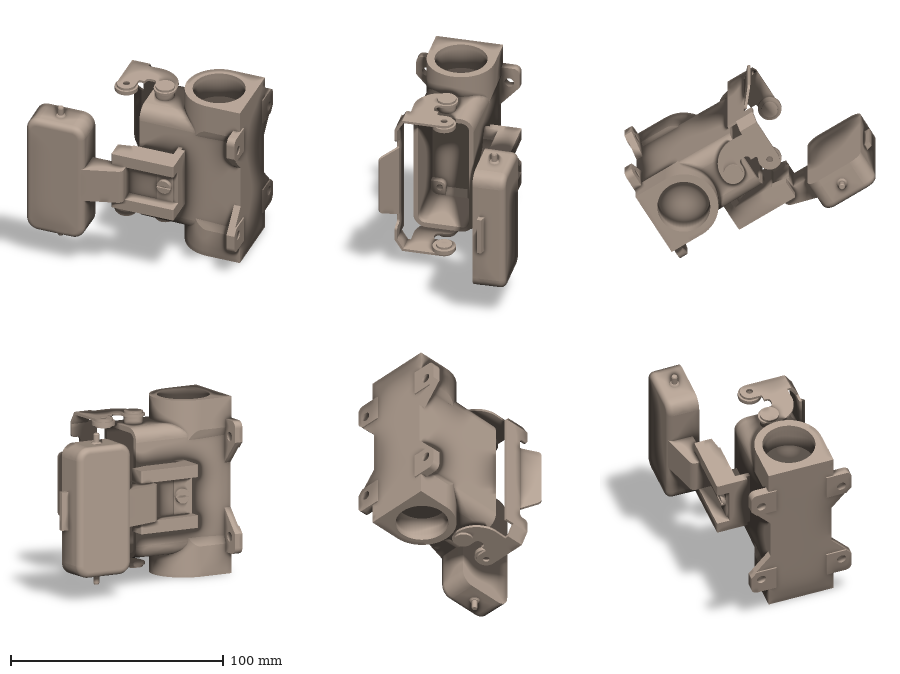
import cadquery as cq
import math


entry_radius = 16.3
entry_half_height = 42.5
bore_radius = 12.5
bore_depth = 13.0
back_x = 16.8
entry_foot_z = 28.0
entry_foot_end_z = 23.6

mouth_x = -34.6
body_half_width = 14.6
body_half_height = 31.3
body_corner_radius = 6.3
body_draft = 0.7
body_foot_half_width = body_half_width + (0 - mouth_x) * math.tan(math.radians(body_draft))

cavity_half_width = 12.4
cavity_half_height = 28.9
cavity_floor_half_height = 25.9
cavity_depth = 28.7
cavity_ramp_depth = cavity_half_height - cavity_floor_half_height
cavity_corner_radius = 3.6
cavity_floor_x = mouth_x + cavity_depth
post_recess = 25.6
post_width = 7.1
post_length = 7.3
post_corner_radius = 3.0
post_hole_radius = 1.6
post_hole_depth = 3.1
post_hole_y = 8.1
post_hole_z = 24.9

ear_front_x = 13.4
ear_pad_x = 17.4
ear_half_span = 25.1
ear_half_height = 32.0
ear_slope_z = 21.9
ear_root = (15.0, 10.4)
ear_corner_radius = 3.1
ear_hole_radius = 2.3
ear_hole_y = 20.1
ear_hole_z = 24.1
ear_pad_inner_y = 12.5
ear_pad_inner_z = 18.9

sheet = 1.2
lever_half_height = 36.2
lever_front_x = -50.2
lever_bend_x = -41.2
lever_spine_x = -36.4
lever_back_y = 19.9
bend_start_y = 16.2
bend_end_z = 30.6
notch_outer_z = 23.6
notch_inner_z = 18.4
notch_x = -45.4
notch_corner_radius = 1.6
peg_x = -27.3
peg_y = 0.2
peg_radius = 4.5
peg_head = 1.1
hook_radius = 5.4
pivot_x = -45.7
pivot_y = -3.1
pivot_end_radius = 4.5
pivot_disc_radius = 5.5
pivot_disc_thickness = 2.0
pivot_hub_radius = 3.8
pivot_hub_thickness = 1.0
pivot_hole_radius = 1.6
flap_angle = 131.0
flap_length = 10.3
flap_root_x = -46.4
flap_tip_half_height = 15.1
flap_corner_radius = 2.6

cover_left_x = -82.0
cover_right_x = -52.6
cover_half_height = 31.4
cover_open_y = -25.7
cover_parting_y = -28.7
cover_face_y = -41.4
cover_corner_radius = 6.1
cover_edge_radius = 2.9
cover_draft = 0.7
cover_mid_x = (cover_left_x + cover_right_x) / 2
cover_width = cover_right_x - cover_left_x
tab_left_x = -85.0
tab_half_height = 9.2
tab_end_y = -30.7
tab_root_y = -31.7
stud_y = -32.8
stud_radius = 1.4
stud_end_z = 36.2
stud_chamfer = 0.6
stud_base_radius = 2.8
stud_base_top_radius = 1.8
stud_base_height = 0.9

bracket_half_height = 15.2
bracket_arm_thickness = 5.9
bracket_left_x = -42.1
bracket_right_x = -10.8
bracket_inner_y = -21.6
bracket_outer_y = -32.0
bracket_tip_y = -23.5
bracket_slope_x = -31.5
bracket_edge_radius = 0.7
bracket_web_y = -25.8
bracket_step_x = -12.6
bracket_step_y = -16.9
hub_tongue_x = -31.2
hub_tongue_half_height = 2.8
hub_scoop_radius = 8.0
hub_scoop_x = -25.2
hub_shoulder_x = -14.6
screw_plate_left_x = -21.1
screw_plate_right_x = -13.1
screw_plate_half_height = 8.7
screw_plate_y = -26.5
screw_radius = 3.5
screw_head_y = -28.7
screw_slot_width = 1.0
screw_slot_depth = 0.8
hinge_arm_half_height = 8.8
hinge_arm_end_x = -35.1
hinge_arm_root_x = -55.0
hinge_leaf_right_x = -21.4
hinge_leaf_y = -26.1


def box(x0, x1, y0, y1, z0, z1):
    """Block between two opposite corners."""
    return cq.Workplane("XY").box(x1 - x0, y1 - y0, z1 - z0, centered=False).translate((x0, y0, z0))


def disc(x, y, z0, z1, radius):
    """Cylinder along Z between two heights."""
    return cq.Workplane("XY", origin=(x, y, z0)).circle(radius).extrude(z1 - z0)


def both_ends(shape):
    """Shape together with its mirror image below the middle plane."""
    return shape.union(shape.mirror("XY"))


def both_sides(shape):
    """Shape together with its mirror image across the XZ plane."""
    return shape.union(shape.mirror("XZ"))


def entry_block():
    plan = (
        cq.Workplane("XY", origin=(0, 0, entry_foot_end_z))
        .moveTo(back_x, entry_radius)
        .lineTo(0, entry_radius)
        .threePointArc((-entry_radius, 0), (0, -entry_radius))
        .lineTo(back_x, -entry_radius)
        .close()
        .extrude(entry_half_height - entry_foot_end_z)
    )
    foot_side = [
        (body_foot_half_width, entry_foot_end_z),
        (entry_radius, entry_foot_z),
        (entry_radius, entry_half_height),
    ]
    mirrored_side = [(-y, z) for y, z in reversed(foot_side)]
    taper = (
        cq.Workplane("YZ", origin=(-entry_radius, 0, 0))
        .polyline(foot_side + mirrored_side)
        .close()
        .extrude(entry_radius + back_x)
    )
    return both_ends(plan.intersect(taper))


def entry_bores():
    return both_ends(disc(0, 0, entry_half_height - bore_depth, entry_half_height, bore_radius))


def housing_body():
    outline = (
        cq.Sketch()
        .rect(2 * body_half_width, 2 * body_half_height)
        .vertices()
        .fillet(body_corner_radius)
    )
    return (
        cq.Workplane("YZ", origin=(mouth_x, 0, 0))
        .placeSketch(outline)
        .extrude(back_x - mouth_x, taper=-body_draft)
    )


def corner_posts():
    post = box(
        mouth_x + post_recess, cavity_floor_x,
        cavity_half_width - post_width, cavity_half_width,
        cavity_half_height - post_length, cavity_half_height,
    )
    post = post.edges("|X and <Y and <Z").fillet(post_corner_radius)
    hole = (
        cq.Workplane("YZ", origin=(mouth_x + post_recess, post_hole_y, post_hole_z))
        .circle(post_hole_radius)
        .extrude(post_hole_depth)
    )
    return both_sides(both_ends(post.cut(hole)))


def insert_cavity():
    side_profile = (
        cq.Workplane("XZ", origin=(0, cavity_half_width, 0))
        .moveTo(mouth_x, -cavity_half_height)
        .lineTo(mouth_x, cavity_half_height)
        .lineTo(cavity_floor_x - cavity_ramp_depth, cavity_half_height)
        .lineTo(cavity_floor_x, cavity_floor_half_height)
        .lineTo(cavity_floor_x, -cavity_floor_half_height)
        .lineTo(cavity_floor_x - cavity_ramp_depth, -cavity_half_height)
        .close()
        .extrude(2 * cavity_half_width)
    )
    mouth = (
        cq.Workplane("YZ", origin=(mouth_x, 0, 0))
        .rect(2 * cavity_half_width, 2 * cavity_half_height)
        .extrude(cavity_depth)
        .edges("|X")
        .fillet(cavity_corner_radius)
    )
    return side_profile.intersect(mouth).cut(corner_posts())


def mounting_ears():
    root_y, root_z = ear_root
    ear = (
        cq.Workplane("YZ", origin=(ear_front_x, 0, 0))
        .moveTo(0, root_z)
        .lineTo(root_y, root_z)
        .lineTo(ear_half_span, ear_slope_z)
        .lineTo(ear_half_span, ear_half_height)
        .lineTo(0, ear_half_height)
        .close()
        .extrude(ear_pad_x - ear_front_x)
        .edges("|X and >Y and >Z")
        .fillet(ear_corner_radius)
    )
    plate_space = box(ear_front_x, back_x, 0, ear_half_span, 0, ear_half_height)
    pad_space = box(
        ear_front_x, ear_pad_x, ear_pad_inner_y, ear_half_span, ear_pad_inner_z, ear_half_height
    )
    hole = (
        cq.Workplane("YZ", origin=(ear_front_x, ear_hole_y, ear_hole_z))
        .circle(ear_hole_radius)
        .extrude(ear_pad_x - ear_front_x)
    )
    return both_sides(both_ends(ear.intersect(plate_space.union(pad_space)).cut(hole)))


def lever_cheek():
    """Upper side plate of the lever: pivot end, hook around the peg and the step between them."""
    cheek_inner_z = lever_half_height - sheet
    return (
        cq.Workplane("XY", origin=(0, 0, cheek_inner_z))
        .moveTo(lever_front_x, bend_start_y)
        .lineTo(lever_front_x, pivot_y)
        .threePointArc((pivot_x, pivot_y - pivot_end_radius), (lever_bend_x, pivot_y))
        .lineTo(lever_bend_x, 0.7)
        .threePointArc((-41.0, 1.3), (-40.3, 1.5))
        .lineTo(-38.1, 1.5)
        .lineTo(-38.1, 2.9)
        .threePointArc((-37.6, 3.8), (-36.5, 4.2))
        .lineTo(-34.8, 4.2)
        .threePointArc((-33.5, 3.7), (peg_x - hook_radius, 2.3))
        .lineTo(peg_x - hook_radius, peg_y)
        .threePointArc((peg_x, peg_y - hook_radius), (peg_x + hook_radius, peg_y))
        .threePointArc((-25.6, 10.4), (-35.0, 14.3))
        .lineTo(lever_bend_x, 14.1)
        .lineTo(lever_bend_x, bend_start_y)
        .close()
        .extrude(sheet)
        .cut(disc(pivot_x, pivot_y, cheek_inner_z, lever_half_height, pivot_hole_radius))
    )


def lever_bend():
    """Slanted sheet that joins the upper side plate to the spine."""
    inner_y = lever_back_y - sheet
    slant_inset = sheet / 2
    return (
        cq.Workplane("YZ", origin=(lever_front_x, 0, 0))
        .moveTo(bend_start_y, lever_half_height)
        .lineTo(lever_back_y, bend_end_z)
        .lineTo(inner_y, bend_end_z - slant_inset)
        .lineTo(bend_start_y - slant_inset, lever_half_height - sheet)
        .lineTo(bend_start_y - slant_inset, lever_half_height)
        .close()
        .extrude(lever_bend_x - lever_front_x)
    )


def lever_spine():
    """Back sheet of the lever, notched beside the finger flap."""
    plate = (
        cq.Workplane("XZ", origin=(0, lever_back_y, 0))
        .moveTo(lever_spine_x, 0)
        .lineTo(lever_spine_x, bend_end_z)
        .lineTo(lever_front_x, bend_end_z)
        .lineTo(lever_front_x, notch_outer_z + notch_corner_radius)
        .radiusArc((lever_front_x + notch_corner_radius, notch_outer_z), -notch_corner_radius)
        .lineTo(notch_x - notch_corner_radius, notch_outer_z)
        .radiusArc((notch_x, notch_outer_z - notch_corner_radius), notch_corner_radius)
        .lineTo(notch_x, notch_inner_z)
        .lineTo(flap_root_x, notch_inner_z)
        .lineTo(flap_root_x, 0)
        .close()
        .extrude(sheet)
    )
    return both_ends(plate)


def finger_flap():
    """Slanted flap of the lever, drawn flat and turned about the spine edge."""
    return (
        cq.Workplane("XZ")
        .moveTo(0, notch_inner_z)
        .lineTo(flap_length, flap_tip_half_height)
        .lineTo(flap_length, -flap_tip_half_height)
        .lineTo(0, -notch_inner_z)
        .close()
        .extrude(sheet)
        .edges("|Y and >X")
        .fillet(flap_corner_radius)
        .rotate((0, 0, 0), (0, 0, 1), flap_angle)
        .translate((flap_root_x, lever_back_y - sheet, 0))
    )


def locking_lever():
    cheek_inner_z = lever_half_height - sheet
    disc_z = cheek_inner_z - pivot_disc_thickness
    end = lever_cheek().union(lever_bend())
    end = end.union(disc(pivot_x, pivot_y, disc_z, cheek_inner_z, pivot_disc_radius))
    end = end.union(disc(pivot_x, pivot_y, disc_z - pivot_hub_thickness, disc_z, pivot_hub_radius))
    end = end.union(disc(peg_x, peg_y, lever_half_height, lever_half_height + peg_head, peg_radius))
    return both_ends(end).union(lever_spine()).union(finger_flap())


def lever_peg():
    """Neck on top of the housing that carries the lever."""
    return disc(peg_x, peg_y, cavity_half_height + 1, lever_half_height, peg_radius)


def protective_cover():
    outline = (
        cq.Sketch()
        .rect(cover_width, 2 * cover_half_height)
        .vertices()
        .fillet(cover_corner_radius)
    )
    parting_plane = cq.Workplane("XZ", origin=(cover_mid_x, cover_parting_y, 0))
    cap = parting_plane.placeSketch(outline).extrude(cover_parting_y - cover_face_y, taper=cover_draft)
    cap = cap.faces("<Y").edges().fillet(cover_edge_radius)
    rim = parting_plane.placeSketch(outline).extrude(cover_parting_y - cover_open_y)
    cover = cap.union(rim)
    tab = (
        cq.Workplane("XY", origin=(0, 0, -tab_half_height))
        .moveTo(cover_mid_x, cover_parting_y)
        .lineTo(tab_left_x, cover_parting_y)
        .lineTo(tab_left_x, tab_end_y)
        .lineTo(cover_left_x, tab_root_y)
        .lineTo(cover_mid_x, tab_root_y)
        .close()
        .extrude(2 * tab_half_height)
    )
    return cover.union(tab).union(both_ends(cover_stud()))


def cover_stud():
    base_z = cover_half_height - 0.2
    base_profile = [
        (0, base_z - 1),
        (stud_base_radius, base_z - 1),
        (stud_base_radius, base_z),
        (stud_base_top_radius, base_z + stud_base_height),
        (stud_radius, base_z + stud_base_height),
        (stud_radius, stud_end_z - stud_chamfer),
        (stud_radius - stud_chamfer / 2, stud_end_z),
        (0, stud_end_z),
    ]
    return (
        cq.Workplane("XZ")
        .polyline(base_profile)
        .close()
        .revolve(360, (0, 0, 0), (0, 1, 0))
        .translate((cover_mid_x, stud_y, 0))
    )


def bracket_hub():
    """Scooped tongue that carries the hinge bracket on the housing side."""
    scoop_top_z = hub_tongue_half_height + hub_scoop_radius
    scoop_end_x = hub_scoop_x + hub_scoop_radius
    scoop_mid = hub_scoop_radius * math.sqrt(0.5)
    half = (
        cq.Workplane("XZ", origin=(0, -cavity_half_width - 1, 0))
        .moveTo(hub_tongue_x, 0)
        .lineTo(hub_tongue_x, hub_tongue_half_height)
        .lineTo(hub_scoop_x, hub_tongue_half_height)
        .threePointArc(
            (hub_scoop_x + scoop_mid, scoop_top_z - scoop_mid), (scoop_end_x, scoop_top_z)
        )
        .lineTo(hub_shoulder_x, bracket_half_height)
        .lineTo(bracket_step_x, bracket_half_height)
        .lineTo(bracket_step_x, 0)
        .close()
        .extrude(-cavity_half_width - 1 - bracket_web_y)
    )
    return both_ends(half)


def hinge_bracket():
    arm = (
        cq.Workplane("XY", origin=(0, 0, bracket_half_height - bracket_arm_thickness))
        .moveTo(bracket_left_x, bracket_tip_y)
        .lineTo(bracket_slope_x, bracket_inner_y)
        .lineTo(bracket_step_x, bracket_inner_y)
        .lineTo(bracket_step_x, bracket_step_y)
        .lineTo(bracket_right_x, bracket_step_y)
        .lineTo(bracket_right_x, bracket_outer_y)
        .lineTo(bracket_left_x, bracket_outer_y)
        .close()
        .extrude(bracket_arm_thickness)
        .edges("|Z and <Y")
        .fillet(bracket_edge_radius)
    )
    web = box(
        hinge_arm_end_x, bracket_right_x, bracket_web_y, bracket_inner_y,
        -bracket_half_height, bracket_half_height,
    )
    end_wall = box(
        bracket_step_x, bracket_right_x, bracket_web_y, bracket_step_y,
        -bracket_half_height, bracket_half_height,
    )
    screw_plate = box(
        screw_plate_left_x, screw_plate_right_x, screw_plate_y, bracket_inner_y,
        -screw_plate_half_height, screw_plate_half_height,
    )
    leaf = box(
        hinge_arm_end_x, hinge_leaf_right_x, hinge_leaf_y, bracket_inner_y,
        -screw_plate_half_height, screw_plate_half_height,
    )
    bracket = both_ends(arm).union(web).union(end_wall).union(screw_plate).union(leaf)
    return bracket.union(bracket_hub()).union(slotted_screw())


def slotted_screw():
    screw_x = (screw_plate_left_x + screw_plate_right_x) / 2
    head = (
        cq.Workplane("XZ", origin=(screw_x, screw_plate_y, 0))
        .circle(screw_radius)
        .extrude(screw_plate_y - screw_head_y)
    )
    slot = box(
        screw_x - screw_radius, screw_x + screw_radius,
        screw_head_y, screw_head_y + screw_slot_depth,
        -screw_slot_width / 2, screw_slot_width / 2,
    )
    return head.cut(slot)


def hinge_arm():
    """Arm of the cover that reaches into the hinge bracket."""
    return (
        cq.Workplane("XY", origin=(0, 0, -hinge_arm_half_height))
        .moveTo(hinge_arm_root_x, cover_parting_y - 0.2)
        .lineTo(-42.8, cover_parting_y - 0.2)
        .lineTo(-42.8, -24.5)
        .lineTo(-43.4, -24.0)
        .lineTo(-43.4, bracket_tip_y)
        .lineTo(hinge_arm_end_x, bracket_tip_y)
        .lineTo(hinge_arm_end_x, -34.4)
        .threePointArc((-35.8, -35.5), (-37.4, -36.4))
        .lineTo(hinge_arm_root_x, -41.2)
        .close()
        .extrude(2 * hinge_arm_half_height)
    )


housing = entry_block().union(housing_body()).union(mounting_ears()).union(lever_peg())
housing = housing.cut(entry_bores()).cut(insert_cavity())
cover_assembly = protective_cover().union(hinge_arm()).union(hinge_bracket())
result = housing.union(locking_lever()).union(cover_assembly)